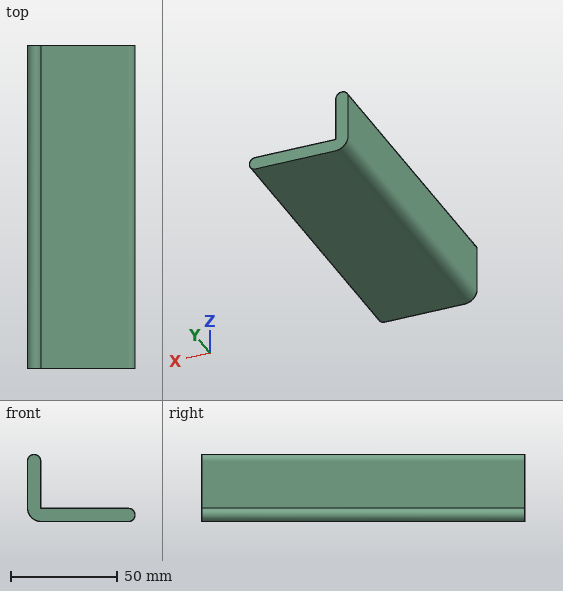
import cadquery as cq

base_width = 50.8
upright_height = 31.75
length = 152.4
thickness = 6.35
inner_radius = 0.254

heel_radius = inner_radius + thickness
tip_radius = thickness / 2
base_tip_start = base_width - tip_radius
upright_tip_start = upright_height - tip_radius


def angle_profile():
    """L-shaped section in XZ; the outer faces of the legs lie on the X and Z axes."""
    return (
        cq.Workplane("XZ")
        .moveTo(heel_radius, 0)
        .lineTo(base_tip_start, 0)
        .threePointArc((base_width, tip_radius), (base_tip_start, thickness))
        .lineTo(heel_radius, thickness)
        .radiusArc((thickness, heel_radius), inner_radius)
        .lineTo(thickness, upright_tip_start)
        .threePointArc((tip_radius, upright_height), (0, upright_tip_start))
        .lineTo(0, heel_radius)
        .radiusArc((heel_radius, 0), -heel_radius)
        .close()
    )


result = angle_profile().extrude(-length)